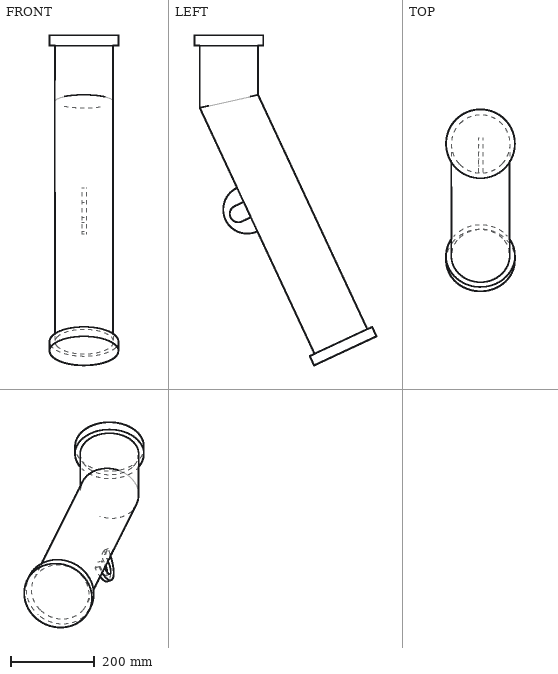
import cadquery as cq
import math

PIPE_RADIUS = 69.85
FLANGE_RADIUS = 82.5
FLANGE_THICKNESS = 25.0
BEND_ANGLE = 25.0
UPPER_LENGTH = 158.02
LOWER_LENGTH = 658.02

LUG_RADIUS = 57.5
LUG_THICKNESS = 10.0
LUG_DISTANCE = 253.0
SLOT_WIDTH = 40.0
SLOT_REACH = 43.5

mitre_setback = PIPE_RADIUS * math.tan(math.radians(BEND_ANGLE / 2))


def straight_leg(length):
    """Vertical leg: pipe rising from the mitre at z = 0 to a blank flange at its end."""
    pipe = (
        cq.Workplane("XY")
        .workplane(offset=-mitre_setback)
        .circle(PIPE_RADIUS)
        .extrude(length + mitre_setback)
    )
    flange = (
        cq.Workplane("XY")
        .workplane(offset=length - FLANGE_THICKNESS)
        .circle(FLANGE_RADIUS)
        .extrude(FLANGE_THICKNESS)
    )
    mitre_waste = (
        cq.Workplane("YZ")
        .polyline([
            (-PIPE_RADIUS, mitre_setback),
            (PIPE_RADIUS, -mitre_setback),
            (-PIPE_RADIUS, -mitre_setback),
        ])
        .close()
        .extrude(PIPE_RADIUS, both=True)
    )
    return pipe.cut(mitre_waste).union(flange)


def lug():
    """Half-round lifting lug on the +Y side of a leg pointing down from the origin."""
    lug_plane = cq.Workplane("YZ").center(PIPE_RADIUS, -LUG_DISTANCE)
    plate = lug_plane.circle(LUG_RADIUS).extrude(LUG_THICKNESS / 2, both=True)
    slot = lug_plane.slot2D(2 * SLOT_REACH, SLOT_WIDTH).extrude(LUG_THICKNESS / 2, both=True)
    return plate.cut(slot)


upper_leg = straight_leg(UPPER_LENGTH)
lower_leg = straight_leg(LOWER_LENGTH).mirror("XY").union(lug())
lower_leg = lower_leg.rotate((0, 0, 0), (1, 0, 0), -BEND_ANGLE)

result = upper_leg.union(lower_leg)